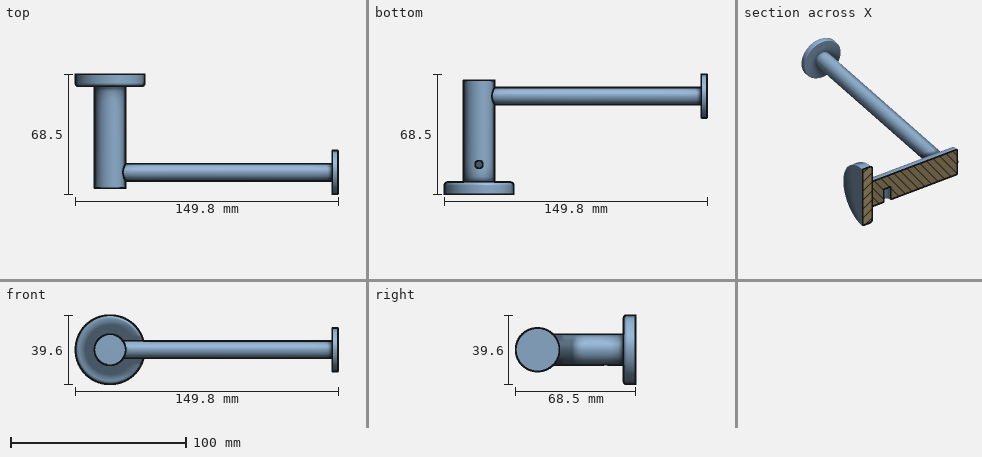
import cadquery as cq

flange_diameter = 39.6
flange_thickness = 7.0
flange_fillet = 2.0

post_diameter = 17.8
post_tip = 65.1
post_fillet = 0.3
post_crown = 0.1
post_edge = post_tip - post_crown

arm_diameter = 10.0
arm_distance = 55.99
arm_seat = 5.0

stop_diameter = 25.0
stop_thickness = 3.3
stop_fillet = 0.45

overall_length = 149.8
stop_outer_face = overall_length - flange_diameter / 2
stop_inner_face = stop_outer_face - stop_thickness

set_screw_diameter = 4.5
set_screw_distance = 17.0


def cylinder_along_x(diameter, start, end):
    """Cylinder on the arm axis between two X positions."""
    plane = cq.Workplane("YZ", origin=(start, -arm_distance, 0))
    return plane.circle(diameter / 2).extrude(end - start)


def make_flange():
    disc = cq.Workplane("XZ").circle(flange_diameter / 2).extrude(flange_thickness)
    return disc.faces("<Y").edges().fillet(flange_fillet)


def make_arm():
    return cylinder_along_x(arm_diameter, arm_seat, stop_inner_face)


def make_post(arm):
    post_radius = post_diameter / 2
    half_section = (
        cq.Workplane("XY")
        .moveTo(0, -flange_thickness)
        .lineTo(post_radius, -flange_thickness)
        .lineTo(post_radius, -post_edge)
        .lineTo(0, -post_tip)
        .close()
    )
    post = half_section.revolve(360, (0, 0, 0), (0, 1, 0))
    post = post.edges("%CIRCLE").edges("<Y").fillet(post_fillet)
    set_screw_hole = (
        cq.Workplane("XY", origin=(0, -set_screw_distance, 0))
        .circle(set_screw_diameter / 2)
        .extrude(-post_radius)
    )
    return post.cut(set_screw_hole).cut(arm)


def make_end_stop():
    disc = cylinder_along_x(stop_diameter, stop_inner_face, stop_outer_face)
    return disc.edges().fillet(stop_fillet)


flange = make_flange()
arm = make_arm()
post = make_post(arm)
end_stop = make_end_stop()

result = cq.Compound.makeCompound([flange.val(), post.val(), arm.val(), end_stop.val()])